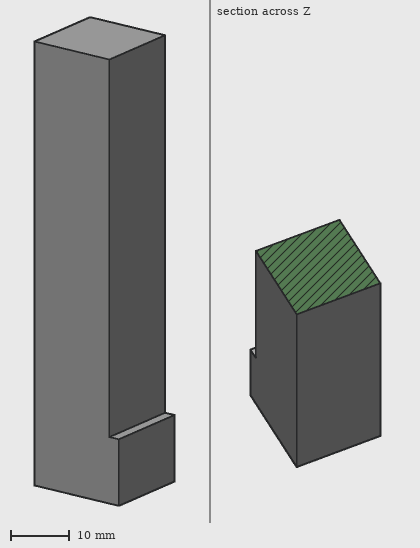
import cadquery as cq

height = 80.0
depth = 15.9
bar_width = 15.9

total_width = 17.9
foot_height = 12.0

result = (
    cq.Workplane("XZ")
    .moveTo(0, 0)
    .lineTo(total_width, 0)
    .lineTo(total_width, foot_height)
    .lineTo(bar_width, foot_height)
    .lineTo(bar_width, height)
    .lineTo(0, height)
    .close()
    .extrude(-depth)
)